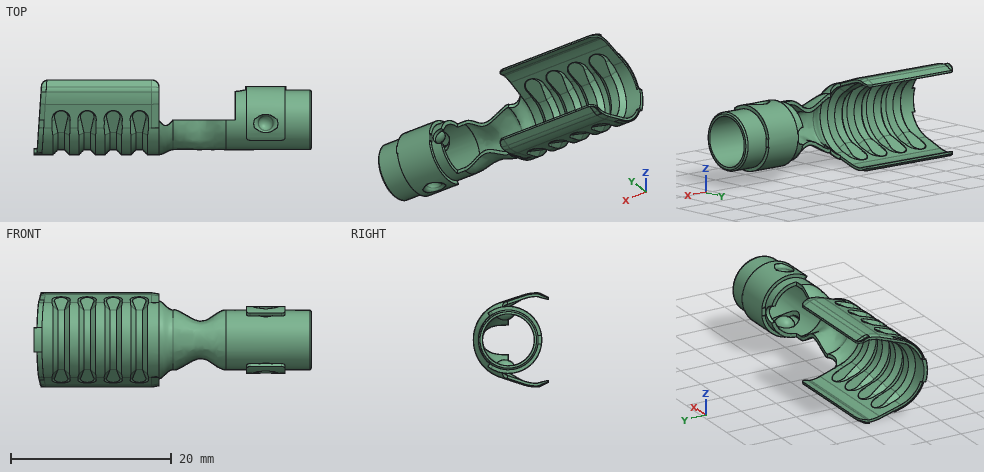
import cadquery as cq
import math


total_length = 34.54
wall = 0.5
wing_end_x = 15.57
neck_start_x = 17.3
pinch_x = 20.8
neck_end_x = 23.88
socket_start_x = 25.03

belly_radius = 4.9
belly_bottom_y = -4.36
belly_center_y = belly_bottom_y + belly_radius
wing_slope = math.radians(18.4)
shoulder_start_y = 1.93
shoulder_radius = 4.95
lip_radius = 1.35
lip_slope = math.radians(27)
wing_tip_y = 4.97
tip_thickness = 0.27
trim_margin = 0.5
past_tip_y = wing_tip_y + trim_margin
clear_height = 2 * belly_radius

wing_start_x = 0.36
wing_start_lean = 0.066
tip_corner_radius = 0.9
bevel_depth = 0.16
start_bevel_length = 0.64
end_bevel_length = 0.95
end_bevel_bottom_y = -1.0
tab_width = 3.05
tab_reach = wing_start_x + start_bevel_length

groove_count = 4
groove_pitch = 3.24
first_groove_x = 3.39
groove_depth = 0.63
trough_half_width = 0.4
groove_flank = math.radians(45)
runout_slope = math.radians(30)
runout_length = 2.3
runout_end_radius = 0.85
groove_tool_height = 1.3

socket_radius = 3.72
socket_bore_radius = socket_radius - wall
socket_chamfer = 0.2
pinch_half_width = 2.34
pinch_squareness = 0.6
rim_dip = 0.65
wing_root_y = -0.1
curve_spans = 8
loft_spans = 4
notch_radius = 1.1

band_thickness = 0.46
band_radius = socket_radius + band_thickness
band_start_x = 26.43
band_width = 4.82
band_center_x = band_start_x + band_width / 2
band_end_angle = math.radians(37.5)
band_corner_radius = 0.45
band_tab_width = 1.05
band_tab_reach = 0.1

dimple_y = -0.47
dimple_radius = 0.95
dimple_height = 3.9
dimple_rim_radius = 1.5
dimple_rim_fillet = 0.59
window_radius = 1.9


def yz_plane(x):
    return cq.Workplane("YZ", origin=(x, 0, 0))


def block(x_range, y_range, z_range):
    spans = [high - low for low, high in (x_range, y_range, z_range)]
    corner = (x_range[0], y_range[0], z_range[0])
    return cq.Workplane("XY").box(*spans, centered=False).translate(corner)


def polar(center, radius, angle):
    """Point at an angle turned from the +Z side of a (Y, Z) center toward -Y."""
    return (center[0] - radius * math.sin(angle), center[1] + radius * math.cos(angle))



def wing_section(plane, inset, tip_inset):
    """Closed region bounded by the wing curve moved inward by inset, closed beyond the tips."""
    belly_center = (belly_center_y, 0)
    radius = belly_radius - inset
    belly_end = polar(belly_center, radius, wing_slope)

    outer_belly_end = polar(belly_center, belly_radius, wing_slope)
    rise = (shoulder_start_y - outer_belly_end[0]) * math.tan(wing_slope)
    shoulder_start = (shoulder_start_y, outer_belly_end[1] + rise)
    shoulder_center = polar(shoulder_start, -shoulder_radius, wing_slope)
    lip_center = (shoulder_center[0], shoulder_center[1] + shoulder_radius - lip_radius)

    shoulder = [polar(shoulder_center, shoulder_radius - inset, wing_slope * k) for k in (1, 0.5, 0)]
    lip = [polar(lip_center, lip_radius - inset, -lip_slope * k) for k in (0.5, 1)]
    outer_lip_end = polar(lip_center, lip_radius, -lip_slope)
    tip_z = outer_lip_end[1] - (wing_tip_y - outer_lip_end[0]) * math.tan(lip_slope) - tip_inset
    tip_fall = (lip[1][1] - tip_z) / (wing_tip_y - lip[1][0])
    past_tip = (past_tip_y, tip_z - tip_fall * (past_tip_y - wing_tip_y))

    def mirrored(point):
        return (point[0], -point[1])

    return (
        plane.moveTo(*past_tip)
        .lineTo(*lip[1])
        .threePointArc(lip[0], shoulder[2])
        .threePointArc(shoulder[1], shoulder[0])
        .lineTo(*belly_end)
        .threePointArc((belly_center_y - radius, 0), mirrored(belly_end))
        .lineTo(*mirrored(shoulder[0]))
        .threePointArc(mirrored(shoulder[1]), mirrored(shoulder[2]))
        .threePointArc(mirrored(lip[0]), mirrored(lip[1]))
        .lineTo(*mirrored(past_tip))
        .close()
    )


def outer_section(plane, inset=0.0):
    return wing_section(plane, inset, inset)


def inner_section(plane):
    return wing_section(plane, wall, tip_thickness)


def groove_profile(tool, half_width):
    """Trapezoid standing on the trough: tool axes are (along X, away from the trough)."""
    spread = half_width + groove_tool_height * math.tan(groove_flank)
    return tool.polyline([
        (-half_width, 0),
        (half_width, 0),
        (spread, groove_tool_height),
        (-spread, groove_tool_height),
    ]).close()


def groove_tool(x, inset):
    """Groove around the belly that fans out straight up both wings into a round end."""
    widening = inset * math.tan(groove_flank / 2)
    half_width = trough_half_width + widening
    end_radius = runout_end_radius + widening
    trough_radius = belly_radius - groove_depth - inset
    spread = end_radius + groove_tool_height * math.tan(groove_flank)

    start = polar((belly_center_y, 0), trough_radius, runout_slope)

    def runout_plane(distance):
        along = (math.cos(runout_slope), math.sin(runout_slope))
        origin = (x, start[0] + distance * along[0], start[1] + distance * along[1])
        return cq.Workplane(cq.Plane(origin=origin, xDir=(-1, 0, 0), normal=(0, *along)))

    fan = loft_between(
        groove_profile(runout_plane(0), half_width),
        groove_profile(runout_plane(runout_length), end_radius))
    runout_end = (
        runout_plane(runout_length)
        .polyline([(0, 0), (end_radius, 0), (spread, groove_tool_height), (0, groove_tool_height)])
        .close()
        .revolve(360, (0, 0), (0, 1))
    )
    ring = (
        groove_profile(runout_plane(0), half_width)
        .revolve(180 - 2 * math.degrees(runout_slope), (1, -trough_radius), (-1, -trough_radius))
    )
    side = fan.union(runout_end)
    return ring, side, side.mirror("XY")


def cut_grooves(body, inset):
    for index in range(groove_count):
        for tool in groove_tool(first_groove_x + index * groove_pitch, inset):
            body = body.cut(tool)
    return body


def leaning_plane(x):
    """Section plane that follows the leaning start edge of the wings."""
    return cq.Workplane(cq.Plane(
        origin=(x, 0, 0),
        xDir=(wing_start_lean, 1, 0),
        normal=(1, -wing_start_lean, 0),
    ))


def loft_between(first, second):
    return cq.Workplane(cq.Solid.makeLoft([first.wires().val(), second.wires().val()], True))


def wing_outline():
    """Side outline of the wings with the leaning start edge and rounded tip corners."""
    def start_edge(y):
        return wing_start_x + wing_start_lean * (y - belly_bottom_y)

    low_y = belly_bottom_y - trim_margin
    return (
        cq.Workplane("XY", origin=(0, 0, -clear_height))
        .polyline([
            (start_edge(low_y), low_y),
            (wing_end_x, low_y),
            (wing_end_x, wing_tip_y),
            (start_edge(wing_tip_y), wing_tip_y),
        ])
        .close()
        .extrude(2 * clear_height)
        .edges("|Z and >Y")
        .fillet(tip_corner_radius)
    )


def make_wings():
    plain_outer = outer_section(yz_plane(0)).extrude(wing_end_x)
    inner = inner_section(yz_plane(0)).extrude(wing_end_x)
    wings = cut_grooves(plain_outer, 0).cut(cut_grooves(inner, wall))
    wings = wings.intersect(wing_outline())

    edge_x = wing_start_x - wing_start_lean * belly_bottom_y
    bevel_x = edge_x + start_bevel_length
    start_full = loft_between(outer_section(leaning_plane(edge_x)), outer_section(leaning_plane(bevel_x)))
    start_bevelled = loft_between(
        outer_section(leaning_plane(edge_x), bevel_depth), outer_section(leaning_plane(bevel_x)))
    wings = wings.cut(start_full.cut(start_bevelled))

    bevel_x = wing_end_x - end_bevel_length
    end_full = outer_section(yz_plane(bevel_x)).extrude(end_bevel_length)
    end_bevelled = loft_between(
        outer_section(yz_plane(bevel_x)), outer_section(yz_plane(wing_end_x), bevel_depth))
    wing_zone = block(
        (bevel_x, wing_end_x), (end_bevel_bottom_y, past_tip_y), (-clear_height, clear_height))
    wings = wings.cut(end_full.cut(end_bevelled).intersect(wing_zone))

    tab_zone = block((0, tab_reach), (belly_bottom_y, 0), (-tab_width / 2, tab_width / 2))
    tab = plain_outer.cut(inner).intersect(tab_zone)
    return wings.union(tab)



def smooth_step(u):
    return u * u * (3 - 2 * u)


def half_shell_section(x, center_y, half_width, depth, rim_y, squareness):
    """U-shaped wall section; squareness above zero flattens the sides of the U."""
    power = 2 / (2 + squareness)

    def u_curve(inset):
        width = half_width - inset
        height = depth - inset
        first = math.asin(((center_y - rim_y) / height) ** (1 / power))
        points = []
        for k in range(curve_spans + 1):
            angle = first + (math.pi - 2 * first) * k / curve_spans
            across = math.copysign(abs(math.cos(angle)) ** power, math.cos(angle))
            down = abs(math.sin(angle)) ** power
            points.append((center_y - height * down, width * across))
        return points

    outer = u_curve(0)
    inner = u_curve(wall)
    return (
        yz_plane(x)
        .moveTo(*outer[0])
        .spline(outer[1:], includeCurrent=True)
        .lineTo(*inner[-1])
        .spline(inner[-2::-1], includeCurrent=True)
        .close()
        .val()
    )


def transition_section(u):
    """Section between the belly of the wings (u = 0) and the round neck start (u = 1)."""
    step = smooth_step(u)
    center_y = belly_center_y * (1 - step)
    bottom_y = belly_bottom_y + (-socket_radius - belly_bottom_y) * step
    return half_shell_section(
        x=wing_end_x + (neck_start_x - wing_end_x) * u,
        center_y=center_y,
        half_width=belly_radius + (socket_radius - belly_radius) * step,
        depth=center_y - bottom_y,
        rim_y=wing_root_y * (1 - step) - rim_dip * math.sin(math.pi * u),
        squareness=0,
    )


def neck_section(u):
    """Section of the pinched neck; u runs from -1 through the pinch at 0 to 1."""
    pinch = (1 + math.cos(math.pi * u)) / 2
    span = pinch_x - neck_start_x if u < 0 else neck_end_x - pinch_x
    return half_shell_section(
        x=pinch_x + span * u,
        center_y=0,
        half_width=socket_radius - (socket_radius - pinch_half_width) * pinch,
        depth=socket_radius,
        rim_y=0,
        squareness=pinch_squareness * pinch,
    )


def make_neck():
    spans = loft_spans
    transition = cq.Solid.makeLoft([transition_section(k / spans) for k in range(spans + 1)])
    pinched = cq.Solid.makeLoft([neck_section(k / spans) for k in range(-spans, spans + 1)])
    return cq.Workplane(transition).union(cq.Workplane(pinched))



def make_socket():
    tube = yz_plane(neck_end_x).circle(socket_radius).extrude(total_length - neck_end_x)
    tube = tube.faces(">X").edges().chamfer(socket_chamfer)
    tube = tube.cut(yz_plane(neck_end_x).circle(socket_bore_radius).extrude(total_length))
    open_side = block(
        (neck_end_x, socket_start_x), (0, socket_radius), (-socket_radius, socket_radius))
    windows = (
        cq.Workplane("XY", origin=(band_center_x, dimple_y, -socket_radius))
        .circle(window_radius)
        .extrude(2 * socket_radius)
    )
    notch = (
        cq.Workplane("XZ", origin=(socket_start_x, 0, 0))
        .circle(notch_radius)
        .extrude(-socket_radius)
    )
    return tube.cut(open_side).cut(windows).cut(notch)



def dimple_blank(outline):
    """Solid turned about a dimple axis that leans from +Z to meet the band at dimple_y."""
    lean = math.degrees(math.asin(-dimple_y / band_radius))
    return (
        outline.close()
        .revolve(360, (0, 0), (0, 1))
        .rotate((0, 0, 0), (1, 0, 0), lean)
        .translate((band_center_x, 0, 0))
    )


def dimple_bump():
    """Underside of the dimple: a half ball whose flat top lies inside the band."""
    radius = dimple_radius + band_thickness
    slant = radius * math.sqrt(0.5)
    return dimple_blank(
        cq.Workplane("XZ")
        .moveTo(0, dimple_height - radius)
        .threePointArc((slant, dimple_height - slant), (radius, dimple_height))
        .lineTo(0, dimple_height)
    )


def dimple_hollow():
    """Bowl whose wall flares out into a rounded rim."""
    reach = dimple_radius + dimple_rim_fillet
    fall = math.sqrt(reach ** 2 - dimple_rim_radius ** 2)
    fillet_height = dimple_height - fall
    meet_angle = math.asin(fall / reach)

    def on_bowl(angle):
        return (dimple_radius * math.cos(angle), dimple_height - dimple_radius * math.sin(angle))

    def on_fillet(angle):
        return (
            dimple_rim_radius - dimple_rim_fillet * math.cos(angle),
            fillet_height + dimple_rim_fillet * math.sin(angle),
        )

    return dimple_blank(
        cq.Workplane("XZ")
        .moveTo(0, dimple_height - dimple_radius)
        .threePointArc(on_bowl((meet_angle + math.pi / 2) / 2), on_bowl(meet_angle))
        .threePointArc(on_fillet((meet_angle + math.pi / 2) / 2), on_fillet(math.pi / 2))
        .lineTo(dimple_rim_radius, band_radius + dimple_radius)
        .lineTo(0, band_radius + dimple_radius)
    )


def make_band():
    def ring(x, width):
        return yz_plane(x).circle(band_radius).circle(socket_radius).extrude(width)

    gap_reach = 2 * band_radius
    gap_half_width = gap_reach / math.tan(band_end_angle)
    gap = (
        yz_plane(band_start_x)
        .polyline([(0, 0), (-gap_reach, gap_half_width), (-gap_reach, -gap_half_width)])
        .close()
        .extrude(band_width)
    )
    band = ring(band_start_x, band_width).cut(gap)
    band = band.edges("#X").fillet(band_corner_radius)

    tab_zone = block((0, total_length), (0, band_radius), (-band_tab_width / 2, band_tab_width / 2))
    tabs = ring(band_start_x - band_tab_reach, band_width + 2 * band_tab_reach).intersect(tab_zone)

    bump = dimple_bump()
    hollow = dimple_hollow()
    band = band.union(bump).union(bump.mirror("XY"))
    return band.cut(hollow).cut(hollow.mirror("XY")).union(tabs)


terminal = make_wings().union(make_neck()).union(make_socket())
band = make_band()
result = cq.Compound.makeCompound([terminal.val(), band.val()])